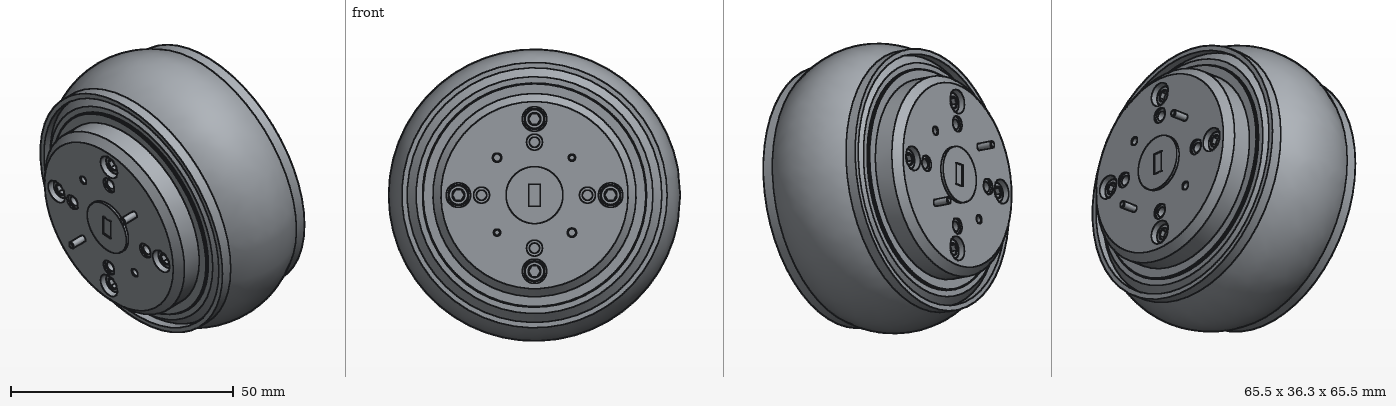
import cadquery as cq
import math


rim_radius = 29.8
rim_width = 2.54
bulge_width = 20.32
bulge_radius = 32.77
bore_radius = 28.6
housing_length = bulge_width + 2 * rim_width

lens_chamfer = 2.0
lens_front_radius = bore_radius - lens_chamfer
lens_seat_radius = 25.2
lens_seat_height = 0.2
lens_dome_height = 0.11

lip_radius = 25.0
lip_height = 0.4
flange_radius = 22.82
flange_height = 6.35
flange_chamfer = 1.8
boss_radius = 6.4
boss_height = 0.65
flange_back = -lens_seat_height
lip_front = flange_back - lip_height
flange_front = lip_front - flange_height
boss_front = flange_front - boss_height

window_width = 2.54
window_height = 4.95
window_depth = 0.3

screw_circle_radius = 17.1
screw_counterbore_radius = 2.75
screw_head_radius = 2.32
screw_head_chamfer = 0.2
screw_head_height = 2.84
screw_head_recess = 1.1
screw_shank_radius = 1.42
socket_across_flats = 2.38
socket_depth = 1.4
socket_mouth_radius = 1.42
socket_mouth_depth = 0.15
screw_head_front = flange_front + screw_head_recess
screw_head_back = screw_head_front + screw_head_height

bolt_circle_radius = 11.9
bolt_hole_radius = 1.15
bolt_counterbore_radius = 1.8
bolt_counterbore_depth = 0.5
pin_radius = 0.8
pin_chamfer = 0.2
pin_projection = 3.8
pin_front = flange_front - pin_projection
dowel_hole_radius = 0.85
dowel_hole_chamfer = 0.18

screw_angles = [0, 90, 180, 270]
bolt_angles = screw_angles
pin_angles = [45, 225]
dowel_hole_angles = [135, 315]


def at_angle(radius, angle):
    """X and Z of a point on a circle around the Y axis."""
    turn = math.radians(angle)
    return radius * math.cos(turn), radius * math.sin(turn)


def rod(radius, y_start, y_end, center=(0, 0)):
    """Cylinder along Y from y_start to the larger y_end, centred on (X, Z)."""
    base = cq.Vector(center[0], y_start, center[1])
    return cq.Workplane(cq.Solid.makeCylinder(radius, y_end - y_start, base, cq.Vector(0, 1, 0)))


def countersink(front_radius, back_radius, y_front, depth, center):
    """Cone along +Y that narrows from front_radius to back_radius, centred on (X, Z)."""
    base = cq.Vector(center[0], y_front, center[1])
    return cq.Workplane(cq.Solid.makeCone(front_radius, back_radius, depth, base, cq.Vector(0, 1, 0)))


def turned(profile):
    """Solid of revolution about Y from a closed profile of radius (X) and Y."""
    return profile.close().revolve(360, (0, 0, 0), (0, 1, 0))


def make_housing():
    profile = (
        cq.Workplane("XY")
        .moveTo(bore_radius, 0)
        .lineTo(rim_radius, 0)
        .lineTo(rim_radius, rim_width)
        .threePointArc((bulge_radius, housing_length / 2), (rim_radius, housing_length - rim_width))
        .lineTo(rim_radius, housing_length)
        .lineTo(bore_radius, housing_length)
    )
    return turned(profile)


def dome_height(radius):
    """Height of the spherical lens back above the housing at a given radius."""
    sphere_radius = (bore_radius**2 + lens_dome_height**2) / (2 * lens_dome_height)
    return math.sqrt(sphere_radius**2 - radius**2) - (sphere_radius - lens_dome_height)


def make_lens():
    dome_middle = (bore_radius / 2, housing_length + dome_height(bore_radius / 2))
    profile = (
        cq.Workplane("XY")
        .moveTo(0, flange_back)
        .lineTo(lens_seat_radius, flange_back)
        .lineTo(lens_seat_radius, 0)
        .lineTo(lens_front_radius, 0)
        .lineTo(bore_radius, lens_chamfer)
        .lineTo(bore_radius, housing_length)
        .threePointArc(dome_middle, (0, housing_length + lens_dome_height))
    )
    return turned(profile)


def make_flange():
    flange = rod(lip_radius, lip_front, flange_back)
    flange = flange.union(rod(flange_radius, flange_front, lip_front).faces("<Y").chamfer(flange_chamfer))
    flange = flange.union(rod(boss_radius, boss_front, flange_front))

    window = cq.Workplane("XY").box(window_width, window_depth, window_height)
    flange = flange.cut(window.translate((0, boss_front + window_depth / 2, 0)))

    for angle in screw_angles:
        center = at_angle(screw_circle_radius, angle)
        flange = flange.cut(rod(screw_counterbore_radius, flange_front, screw_head_back, center))
        flange = flange.cut(rod(screw_shank_radius, screw_head_back, flange_back, center))
    for angle in bolt_angles:
        center = at_angle(bolt_circle_radius, angle)
        counterbore_floor = flange_front + bolt_counterbore_depth
        flange = flange.cut(rod(bolt_counterbore_radius, flange_front, counterbore_floor, center))
        flange = flange.cut(rod(bolt_hole_radius, counterbore_floor, flange_back, center))
    for angle in dowel_hole_angles:
        center = at_angle(bolt_circle_radius, angle)
        flange = flange.cut(rod(dowel_hole_radius, flange_front, flange_back, center))
        mouth_radius = dowel_hole_radius + dowel_hole_chamfer
        mouth = countersink(mouth_radius, dowel_hole_radius, flange_front, dowel_hole_chamfer, center)
        flange = flange.cut(mouth)
    for angle in pin_angles:
        center = at_angle(bolt_circle_radius, angle)
        flange = flange.cut(rod(pin_radius, flange_front, flange_back, center))
    return flange


def make_screw(angle):
    x, z = at_angle(screw_circle_radius, angle)
    screw = rod(screw_head_radius, screw_head_front, screw_head_back, (x, z))
    screw = screw.faces("<Y").chamfer(screw_head_chamfer)
    screw = screw.union(rod(screw_shank_radius, screw_head_back, flange_back, (x, z)))
    socket = (
        cq.Workplane("XZ", origin=(x, screw_head_front, z))
        .polygon(6, socket_across_flats / math.cos(math.pi / 6))
        .extrude(-socket_depth)
    )
    mouth_floor_radius = socket_across_flats / 2
    mouth = countersink(socket_mouth_radius, mouth_floor_radius, screw_head_front, socket_mouth_depth, (x, z))
    return screw.cut(socket).cut(mouth)


def make_pin(angle):
    pin = rod(pin_radius, pin_front, flange_back, at_angle(bolt_circle_radius, angle))
    return pin.faces("<Y").chamfer(pin_chamfer)


housing = make_housing()
lens = make_lens()
flange = make_flange()
screws = [make_screw(angle) for angle in screw_angles]
pins = [make_pin(angle) for angle in pin_angles]

result = cq.Compound.makeCompound(
    [housing.val(), lens.val(), flange.val()]
    + [screw.val() for screw in screws]
    + [pin.val() for pin in pins]
)